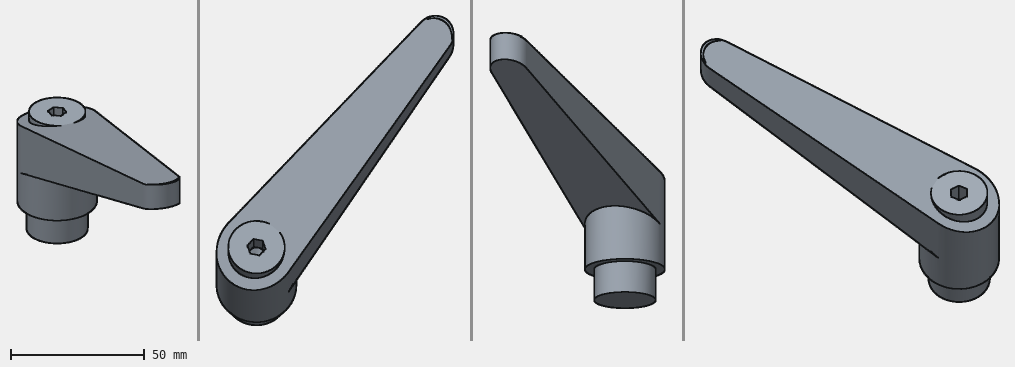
import cadquery as cq
import math

hub_radius = 15.0
overall_length = 123
overall_height = 76.9
tip_radius = 7.3
shank_radius = 11.6
shank_height = 11.9
button_radius = 10.6
button_top = 50.4
top_angle = 15
underside_angle = 20
lip_height = 0.2
lip_width = 1.1
lip_start_offset = 3.1
tip_underside = 66.5
socket_across_flats = 6.0
socket_depth = 8.0
drill_point_angle = 118

tip_end = overall_length - hub_radius
tip_centre = tip_end - tip_radius
top_slope = math.tan(math.radians(top_angle))
underside_slope = math.tan(math.radians(underside_angle))


def top_height(x):
    """Height of the sloping top face at a given X."""
    return overall_height - lip_height - top_slope * (tip_end - x)


def underside_height(x):
    """Height of the arm's sloping underside at a given X."""
    return tip_underside - underside_slope * (tip_end - x)


def side_prism(points):
    """Extrude an XZ outline across the full width of the hub."""
    return cq.Workplane("XZ").polyline(points).close().extrude(hub_radius, both=True)


def make_hub():
    """Hub cylinder with its top cut to the slope of the arm."""
    hub = cq.Workplane("XY").workplane(offset=shank_height).circle(hub_radius).extrude(overall_height)
    envelope = side_prism([
        (-hub_radius, 0),
        (hub_radius, 0),
        (hub_radius, top_height(hub_radius)),
        (-hub_radius, top_height(-hub_radius)),
    ])
    return hub.intersect(envelope)


def make_arm():
    """Tapered arm whose straight sides are tangent to the hub and the rounded tip."""
    side_sine = (hub_radius - tip_radius) / tip_centre
    side_cosine = math.sqrt(1 - side_sine ** 2)
    root_x = hub_radius * side_sine
    root_y = hub_radius * side_cosine
    end_x = tip_centre + tip_radius * side_sine
    end_y = tip_radius * side_cosine
    plan = (
        cq.Workplane("XY")
        .moveTo(root_x, -root_y)
        .lineTo(end_x, -end_y)
        .threePointArc((tip_end, 0), (end_x, end_y))
        .lineTo(root_x, root_y)
        .close()
        .extrude(overall_height)
    )
    profile = side_prism([
        (root_x, underside_height(root_x)),
        (tip_end, underside_height(tip_end)),
        (tip_end, top_height(tip_end)),
        (root_x, top_height(root_x)),
    ])
    return plan.intersect(profile)


def make_tip_lip():
    """Shallow crescent lip standing on the top face around the rounded tip."""
    tip_disc = cq.Workplane("XY").center(tip_centre, 0).circle(tip_radius).extrude(overall_height)
    inner_disc = tip_disc.translate((-lip_width, 0, 0))
    lip_start = tip_centre + lip_start_offset
    layer = side_prism([
        (lip_start, underside_height(lip_start)),
        (tip_end, underside_height(tip_end)),
        (tip_end, top_height(tip_end) + lip_height),
        (lip_start, top_height(lip_start) + lip_height),
    ])
    return tip_disc.cut(inner_disc).intersect(layer)


def make_socket():
    """Hexagon socket with corners along X and a conical drill point."""
    across_corners = socket_across_flats / math.cos(math.radians(30))
    hexagon = (
        cq.Workplane("XY")
        .workplane(offset=button_top - socket_depth)
        .polygon(6, across_corners)
        .extrude(socket_depth)
    )
    point_radius = socket_across_flats / 2
    point_depth = point_radius / math.tan(math.radians(drill_point_angle / 2))
    drill_point = cq.Workplane("XY").add(
        cq.Solid.makeCone(
            point_radius, 0, point_depth,
            pnt=cq.Vector(0, 0, button_top - socket_depth), dir=cq.Vector(0, 0, -1),
        )
    )
    return hexagon.union(drill_point)


shank = cq.Workplane("XY").circle(shank_radius).extrude(shank_height)
button = (
    cq.Workplane("XY")
    .workplane(offset=shank_height)
    .circle(button_radius)
    .extrude(button_top - shank_height)
)

result = make_hub().union(make_arm()).union(make_tip_lip()).union(shank).union(button).cut(make_socket())